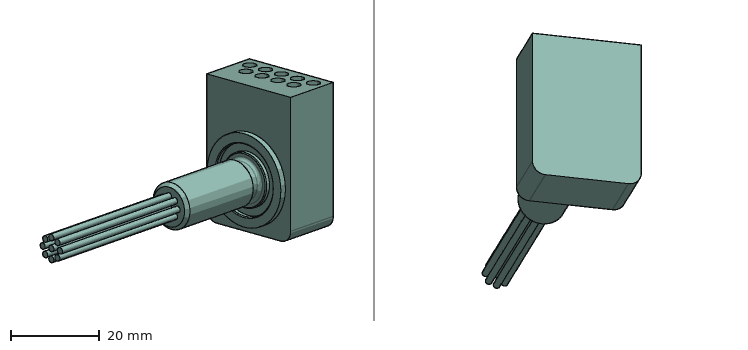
import cadquery as cq
import math


block_width = 25.4
block_depth = 14.5
block_height = 34.8
bottom_corner_radius = 3.0
block_bottom = -block_width / 2

hole_diameter = 3.2
hole_depth = 8.1
hole_pitch = 4.8
back_row_count = 5
front_row_count = back_row_count - 1
back_row_distance = 3.3
row_spacing = 3.9

flange_diameter = 22.2
flange_thickness = 1.55
flange_face = block_depth + flange_thickness
groove_outer_diameter = 17.2
groove_depth = 1.2
groove_floor = flange_face - groove_depth
boss_rim_diameter = 12.7
edge_chamfer = 0.25

neck_diameter = 9.4
neck_fillet_radius = 0.8
sleeve_diameter = 11.15
sleeve_start = 18.3
sleeve_end = 41.5
sleeve_chamfer = (sleeve_diameter - neck_diameter) / 2

wire_diameter = 1.55
wire_ring_radius = 2.6
outer_wire_count = 8
wire_end = 81.3


def make_block():
    """Upright block with its two lower edges rounded."""
    block = cq.Workplane("XY").box(block_width, block_depth, block_height, centered=(True, True, False))
    block = block.translate((0, -block_depth / 2, block_bottom))
    return block.edges("|Y and <Z").fillet(bottom_corner_radius)


def make_contact_holes():
    """Blind holes sunk from the top of the block."""
    rows = (
        (back_row_count, back_row_distance),
        (front_row_count, back_row_distance + row_spacing),
    )
    centers = []
    for count, distance in rows:
        for index in range(count):
            centers.append(((index - (count - 1) / 2) * hole_pitch, -distance))
    block_top = block_bottom + block_height
    top = cq.Workplane("XY", origin=(0, 0, block_top))
    return top.pushPoints(centers).circle(hole_diameter / 2).extrude(-hole_depth)


def make_fitting():
    """Flange, grooved boss, neck and sleeve turned about the Y axis."""
    groove_outer_radius = groove_outer_diameter / 2
    boss_rim_radius = boss_rim_diameter / 2
    boss_radius = boss_rim_radius + edge_chamfer
    neck_radius = neck_diameter / 2
    sleeve_radius = sleeve_diameter / 2
    fillet_center = (neck_radius + neck_fillet_radius, flange_face + neck_fillet_radius)
    fillet_middle_offset = neck_fillet_radius * math.sqrt(0.5)
    fillet_middle = (fillet_center[0] - fillet_middle_offset, fillet_center[1] - fillet_middle_offset)

    def at(radius, distance):
        return (radius, -distance)

    profile = (
        cq.Workplane("XY")
        .moveTo(*at(0, block_depth))
        .lineTo(*at(flange_diameter / 2, block_depth))
        .lineTo(*at(flange_diameter / 2, flange_face))
        .lineTo(*at(groove_outer_radius + edge_chamfer, flange_face))
        .lineTo(*at(groove_outer_radius, flange_face - edge_chamfer))
        .lineTo(*at(groove_outer_radius, groove_floor))
        .lineTo(*at(boss_radius, groove_floor))
        .lineTo(*at(boss_radius, flange_face - edge_chamfer))
        .lineTo(*at(boss_rim_radius, flange_face))
        .lineTo(*at(fillet_center[0], flange_face))
        .threePointArc(at(*fillet_middle), at(neck_radius, fillet_center[1]))
        .lineTo(*at(neck_radius, sleeve_start))
        .lineTo(*at(sleeve_radius, sleeve_start + sleeve_chamfer))
        .lineTo(*at(sleeve_radius, sleeve_end - sleeve_chamfer))
        .lineTo(*at(sleeve_radius - sleeve_chamfer, sleeve_end))
        .lineTo(*at(0, sleeve_end))
        .close()
    )
    return profile.revolve(360, (0, 0, 0), (0, 1, 0))


def make_wires():
    """Straight wires leaving the end of the sleeve."""
    sleeve_end_plane = cq.Workplane("XZ", origin=(0, -sleeve_end, 0))
    wire_length = wire_end - sleeve_end
    center_wire = sleeve_end_plane.circle(wire_diameter / 2).extrude(wire_length)
    outer_wires = (
        sleeve_end_plane.polarArray(wire_ring_radius, 0, 360, outer_wire_count)
        .circle(wire_diameter / 2)
        .extrude(wire_length)
    )
    return center_wire.union(outer_wires)


result = make_block().cut(make_contact_holes()).union(make_fitting()).union(make_wires())